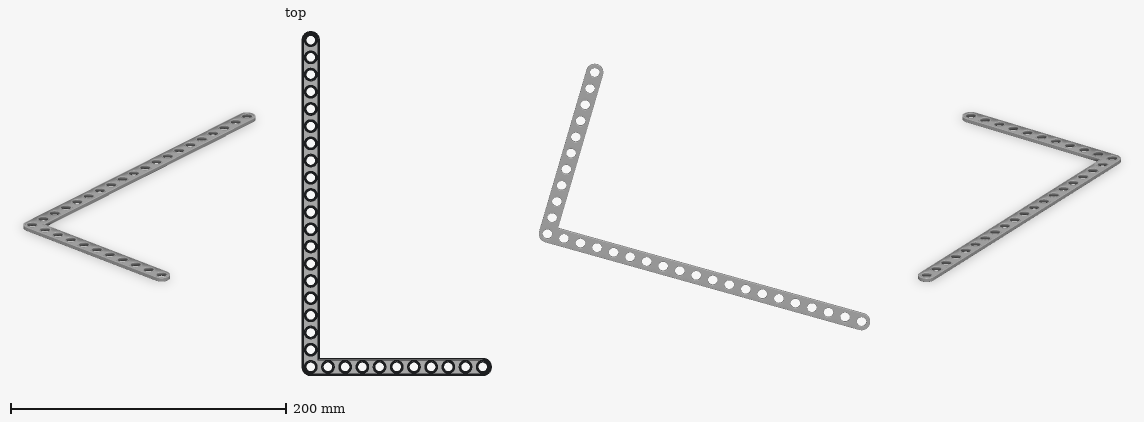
import cadquery as cq

pitch = 12.5
holes_along_x = 11
holes_along_y = 20
thickness = pitch / 4
hole_diameter = 7.0
rim_width = 1.1
pocket_depth = 0.2
edge_chamfer = 0.3

x_arm_reach = (holes_along_x - 1) * pitch
y_arm_reach = (holes_along_y - 1) * pitch
hub_diameter = hole_diameter + 2 * rim_width
pocket_width = pitch - 2 * rim_width
pocket_floor = thickness - pocket_depth


def make_angle(width, height):
    """L-shaped plate of two round-ended arms that share the corner hole centre."""
    x_arm = cq.Workplane("XY").center(x_arm_reach / 2, 0).slot2D(x_arm_reach + width, width)
    y_arm = cq.Workplane("XY").center(0, y_arm_reach / 2).slot2D(y_arm_reach + width, width, 90)
    return x_arm.extrude(height).union(y_arm.extrude(height)).clean()


def hole_centres():
    """Corner hole and the evenly spaced holes of both arms."""
    x_row = [(i * pitch, 0) for i in range(holes_along_x)]
    y_row = [(0, i * pitch) for i in range(1, holes_along_y)]
    return x_row + y_row


def make_cylinders(diameter, height):
    """One cylinder standing on the bottom plane at every hole centre."""
    return cq.Workplane("XY").pushPoints(hole_centres()).circle(diameter / 2).extrude(height)


def make_plate():
    """Drilled plate with the outline and the holes chamfered on both faces."""
    plate = make_angle(pitch, thickness).cut(make_cylinders(hole_diameter, thickness))
    return plate.faces("<Z or >Z").chamfer(edge_chamfer)


def make_pocket():
    """Shallow sunken area of the top face, inside the rim and around the hubs."""
    area = make_angle(pocket_width, pocket_depth)
    area = area.cut(make_cylinders(hub_diameter, pocket_depth))
    return area.translate((0, 0, pocket_floor))


result = make_plate().cut(make_pocket())